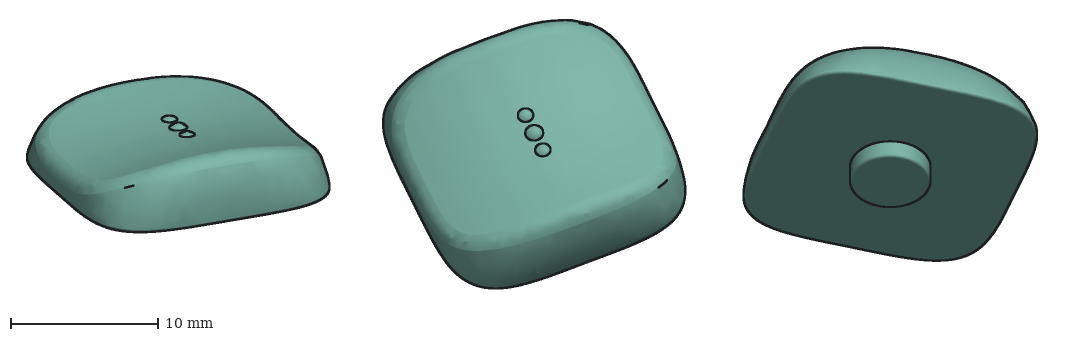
import cadquery as cq
import math

cap_width_x = 17.95
cap_width_y = 17.93
rim_height = 0.25
wall_radius = 6.02
section_spacing = 0.77
wall_steps = 6
points_per_quarter = 8

rim_exponent = 4.4
exponent_drop = 0.4452

saddle_height = 3.49
dish_radius = 29.3
crown_radius = 23.9
side_clearance = 0.9
top_edge_fillet = 1.33
bottom_edge_fillet = 0.2

stem_diameter = 5.5
stem_length = 1.33
stem_edge_fillet = 0.2

dot_radius = 0.79
dot_pitch = 1.51
middle_dot_rise = 0.29
side_dot_rise = 0.2


def wall_inset(height):
    """Distance the wall has leaned in at a height above the cap's underside."""
    rise = max(height - rim_height, 0.0)
    return wall_radius - math.sqrt(wall_radius**2 - rise**2)


def signed_power(value, power):
    return math.copysign(abs(value) ** power, value)


def wall_section(height):
    """Closed superellipse outline of the cap at one height, starting at a corner."""
    power = 2 / (rim_exponent - exponent_drop * height)
    half_x = cap_width_x / 2 - wall_inset(height)
    half_y = cap_width_y / 2 - wall_inset(height)
    point_count = 4 * points_per_quarter
    points = []
    for i in range(point_count):
        angle = math.pi / 4 + 2 * math.pi * i / point_count
        x = half_x * signed_power(math.cos(angle), power)
        y = half_y * signed_power(math.sin(angle), power)
        points.append(cq.Vector(x, y, height))
    return cq.Wire.assembleEdges([cq.Edge.makeSpline(points, periodic=True)])


def saddle_z(x):
    """Height of the saddle on the centre line along X."""
    return saddle_height + dish_radius - math.sqrt(dish_radius**2 - x**2)


def below_saddle():
    """Solid under the saddle: the dish arc turned about an axis along X."""
    end_x = cap_width_x / 2 + side_clearance
    end_z = saddle_z(end_x)
    axis_z = saddle_height - crown_radius
    return (
        cq.Workplane("XZ")
        .moveTo(-end_x, axis_z)
        .lineTo(-end_x, end_z)
        .threePointArc((0, saddle_height), (end_x, end_z))
        .lineTo(end_x, axis_z)
        .close()
        .revolve(360, (-end_x, axis_z), (end_x, axis_z))
    )


def cap():
    leaning_heights = [rim_height + section_spacing * i for i in range(wall_steps + 1)]
    heights = [0.0] + leaning_heights
    walls = cq.Solid.makeLoft([wall_section(height) for height in heights])
    body = cq.Workplane(walls).intersect(below_saddle())
    body = body.faces(">Z").edges().fillet(top_edge_fillet)
    return body.faces("<Z").edges().fillet(bottom_edge_fillet)


def stem():
    return (
        cq.Workplane("XY")
        .circle(stem_diameter / 2)
        .extrude(-stem_length)
        .faces("<Z")
        .edges()
        .fillet(stem_edge_fillet)
    )


def dot(x, rise):
    """Ball sunk into the saddle so that only a low dome shows."""
    centre_z = saddle_z(x) + rise - dot_radius
    return cq.Workplane("XY").sphere(dot_radius).translate((x, 0, centre_z))


result = cap().union(stem())
dots = [(-dot_pitch, side_dot_rise), (0, middle_dot_rise), (dot_pitch, side_dot_rise)]
for x, rise in dots:
    result = result.union(dot(x, rise))